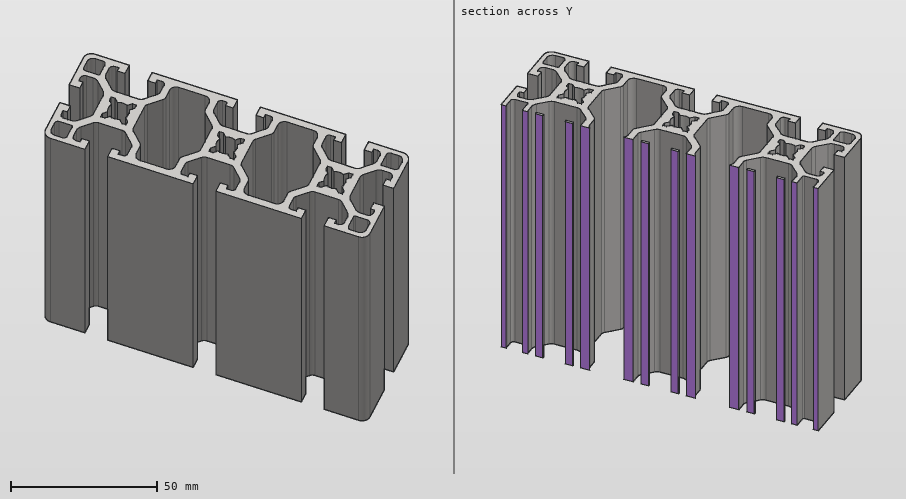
import cadquery as cq
import math

LENGTH = 120.0
MODULE_COUNT = 3
MODULE = LENGTH / MODULE_COUNT
HALF = MODULE / 2
HEIGHT = 2.5 * MODULE
OUTER_RADIUS = 3.0

SLOT_OPENING_HALF = 4.2
SLOT_WALL = 10.1
SLOT_FLOOR = 7.5
LIP_INNER = 7.1
LIP_DEPTH = 4.0
UNDERCUT_DEPTH = 2.4
SLOT_DIAGONAL_OFFSET = 2.2
FLOOR_RADIUS = 2.4
PLAIN_UNDERCUT_RADIUS = 1.2
PLAIN_BEND_RADIUS = 1.8
CORNER_UNDERCUT_RADIUS = 1.7
CORNER_BEND_RADIUS = 3.0

CELL_SKIN = 1.8
CELL_INNER = 12.0
CELL_OUTER_RADIUS = 2.2
CELL_SIDE_RADIUS = 1.2
CELL_INNER_RADIUS = 0.5

CHAMBER_SKIN = 2.6
CHAMBER_WALL = 12.7
CHAMBER_FLOOR = 7.5
CHAMBER_DIAGONAL_OFFSET = 1.8
CHAMBER_RADIUS = 2.4
CHAMBER_BEND_RADIUS = 1.8

BORE_RADIUS = 3.7
TIP_REACH = 4.7
DIAGONAL_REACH = 2 * TIP_REACH
TIP_SLOT_WIDTH = 2.2


def rounded_prism(corners):
    """Extrude a closed outline of (x, y, radius) corners, rounding each by its radius."""
    arcs = []
    for i, (x, y, radius) in enumerate(corners):
        before = cq.Vector(*corners[i - 1][:2])
        after = cq.Vector(*corners[(i + 1) % len(corners)][:2])
        corner = cq.Vector(x, y)
        to_before = (before - corner).normalized()
        to_after = (after - corner).normalized()
        half_angle = to_before.getAngle(to_after) / 2
        tangent = radius / math.tan(half_angle)
        bisector = (to_before + to_after).normalized()
        middle = corner + bisector * (radius / math.sin(half_angle) - radius)
        arcs.append((corner + to_before * tangent, middle, corner + to_after * tangent, radius))

    outline = cq.Workplane("XY").moveTo(*arcs[0][2].toTuple()[:2])
    for start, middle, end, radius in arcs[1:] + arcs[:1]:
        outline = outline.lineTo(start.x, start.y)
        if radius > 0:
            outline = outline.threePointArc((middle.x, middle.y), (end.x, end.y))
    return outline.close().extrude(HEIGHT)


def turned(shape, angle):
    """Rotate a shape about the Z axis by an angle in degrees."""
    return shape.rotate((0, 0, 0), (0, 0, 1), angle)


def slot_side(undercut_radius, bend_radius):
    """Right half of a slot that opens toward +Y, from its mouth down to its floor."""
    return [
        (SLOT_OPENING_HALF, HALF, 0),
        (SLOT_OPENING_HALF, HALF - LIP_DEPTH, 0),
        (LIP_INNER, HALF - LIP_DEPTH, 0),
        (LIP_INNER, HALF - UNDERCUT_DEPTH, 0),
        (SLOT_WALL, HALF - UNDERCUT_DEPTH, undercut_radius),
        (SLOT_WALL, SLOT_WALL + SLOT_DIAGONAL_OFFSET, bend_radius),
        (SLOT_FLOOR - SLOT_DIAGONAL_OFFSET, SLOT_FLOOR, FLOOR_RADIUS),
    ]


def slot(left_at_corner, right_at_corner):
    """T-slot opening toward +Y; a side next to an outer corner has larger radii."""
    plain = slot_side(PLAIN_UNDERCUT_RADIUS, PLAIN_BEND_RADIUS)
    corner = slot_side(CORNER_UNDERCUT_RADIUS, CORNER_BEND_RADIUS)
    right = corner if right_at_corner else plain
    left = corner if left_at_corner else plain
    mirrored_left = [(-x, y, radius) for x, y, radius in reversed(left)]
    return rounded_prism(right + mirrored_left)


def corner_cell():
    """Hollow cell in the (+X, +Y) corner of a module."""
    outer = HALF - CELL_SKIN
    return rounded_prism([
        (CELL_INNER, CELL_INNER, CELL_INNER_RADIUS),
        (outer, CELL_INNER, CELL_SIDE_RADIUS),
        (outer, outer, CELL_OUTER_RADIUS),
        (CELL_INNER, outer, CELL_SIDE_RADIUS),
    ])


def chamber():
    """Hollow chamber centred between two modules."""
    quarter = [
        (HALF - CHAMBER_FLOOR, CHAMBER_FLOOR - CHAMBER_DIAGONAL_OFFSET, CHAMBER_BEND_RADIUS),
        (HALF - CHAMBER_WALL, CHAMBER_WALL - CHAMBER_DIAGONAL_OFFSET, CHAMBER_BEND_RADIUS),
        (HALF - CHAMBER_WALL, HALF - CHAMBER_SKIN, CHAMBER_RADIUS),
    ]
    upper = quarter + [(-x, y, radius) for x, y, radius in reversed(quarter)]
    lower = [(-x, -y, radius) for x, y, radius in upper]
    return rounded_prism(upper + lower)


def bore():
    """Round screw bore with four diagonal tips."""
    hole = cq.Workplane("XY").circle(BORE_RADIUS).extrude(HEIGHT)
    tip_limit = cq.Workplane("XY").rect(2 * TIP_REACH, 2 * TIP_REACH).extrude(HEIGHT)
    diagonal_slot = cq.Workplane("XY").rect(2 * DIAGONAL_REACH, TIP_SLOT_WIDTH).extrude(HEIGHT)
    for angle in (45, 135):
        hole = hole.union(turned(diagonal_slot, angle).intersect(tip_limit))
    return hole


result = cq.Workplane("XY").box(LENGTH, MODULE, HEIGHT, centered=(True, True, False))
result = result.edges("|Z").fillet(OUTER_RADIUS)

module_centres = [(i - (MODULE_COUNT - 1) / 2) * MODULE for i in range(MODULE_COUNT)]
first_centre = module_centres[0]
last_centre = module_centres[-1]
for centre in module_centres:
    long_side_slot = slot(centre == first_centre, centre == last_centre).translate((centre, 0, 0))
    result = result.cut(long_side_slot)
    result = result.cut(long_side_slot.mirror("XZ"))
    result = result.cut(bore().translate((centre, 0, 0)))

end_slot = turned(slot(True, True), -90).translate((last_centre, 0, 0))
upper_cell = corner_cell().translate((last_centre, 0, 0))
for end_feature in (end_slot, upper_cell, upper_cell.mirror("XZ")):
    result = result.cut(end_feature)
    result = result.cut(end_feature.mirror("YZ"))

for centre in module_centres[:-1]:
    result = result.cut(chamber().translate((centre + HALF, 0, 0)))